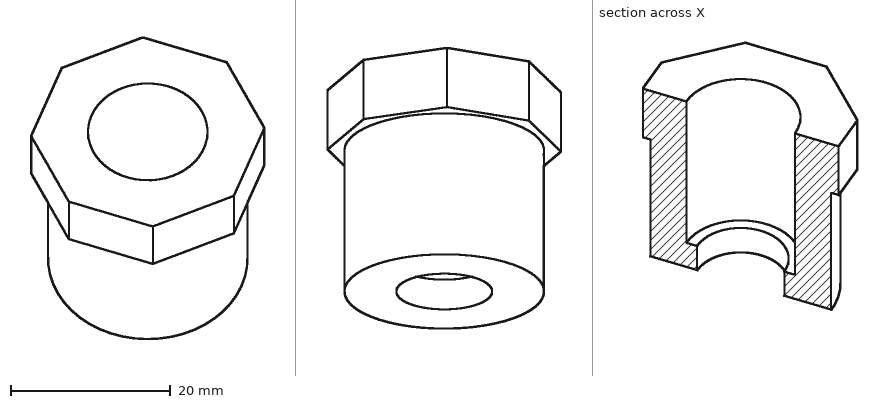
import cadquery as cq
import math

total_height = 27.0
head_across_flats = 27.0
head_height = 8.0
head_sides = 8
body_diameter = 25.0
socket_diameter = 14.95
socket_depth = 23.0
bore_diameter = 12.0

body_height = total_height - head_height
head_across_corners = head_across_flats / math.cos(math.pi / head_sides)
half_side_angle = 180.0 / head_sides


def make_body():
    """Cylindrical spigot standing on the XY plane."""
    return cq.Workplane("XY").circle(body_diameter / 2).extrude(body_height)


def make_head():
    """Octagonal head on top of the spigot, with flats facing X and Y."""
    return (
        cq.Workplane("XY")
        .transformed(offset=(0, 0, body_height), rotate=(0, 0, half_side_angle))
        .polygon(head_sides, head_across_corners)
        .extrude(head_height)
    )


def cut_stepped_bore(part):
    """Through bore with a wider socket opening in the top face."""
    return (
        part.faces(">Z")
        .workplane(origin=(0, 0, total_height))
        .cboreHole(bore_diameter, socket_diameter, socket_depth)
    )


result = cut_stepped_bore(make_body().union(make_head()))